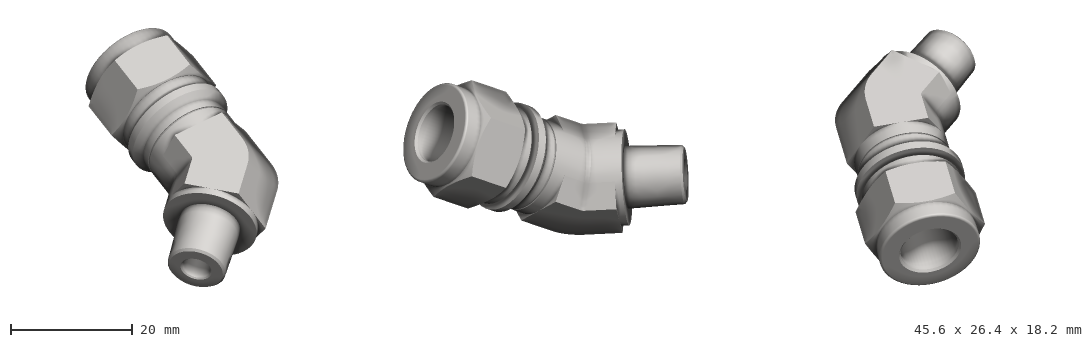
import cadquery as cq
import math

BEND_ANGLE = 45.0
ELBOW_X = 29.3

NUT_HEX_FLATS = 17.5
NUT_FRONT_DIA = 17.0
NUT_FRONT_FILLET = 0.4
NUT_HEX_START = 2.9
NUT_HEX_END = 11.95
NUT_CHAMFER_ANGLE = 30.0
NUT_COLLAR_DIA = 16.8
NUT_COLLAR_END = 14.05
NUT_COLLAR_CHAMFER = 0.3

NECK_DIA = 14.3
FLANGE_START = 14.65
FLANGE_END = 16.12
FLANGE_DIA = 18.25
SHOULDER_END = 17.35
RING_GROOVE_START = 18.95
RING_GROOVE_WIDTH = 0.35
RING_GROOVE_DEPTH = 0.2

BODY_FLATS = 15.8
BODY_START = 21.8
BODY_OUTLET_LENGTH = 7.5
OUTER_BEND_FILLET = 8.65
INNER_BEND_FILLET = 1.1

WASHER_LENGTH = 1.25
STEM_DIA = 10.3
STEM_STRAIGHT_END = 2.55
STEM_END = 10.95
STEM_TIP_DIA = 9.75
STEM_TIP_CHAMFER = 0.35

TUBE_DIA = 9.75
TUBE_DEPTH = 15.5
TUBE_CHAMFER = 0.35
INLET_BORE_DIA = 7.1
INLET_BORE_DEPTH = 21.85
OUTLET_BORE_DIA = 4.85
OUTLET_BORE_DEPTH = STEM_END + BODY_OUTLET_LENGTH / 2
OUTLET_BORE_CHAMFER = 0.25


def revolve_about_x(stations):
    """Revolve a profile of (x, radius) stations about the X axis."""
    points = [(stations[0][0], 0)] + stations + [(stations[-1][0], 0)]
    return cq.Workplane("XY").polyline(points).close().revolve(360, (0, 0), (1, 0))


def cylinder_x(start, end, diameter):
    return revolve_about_x([(start, diameter / 2), (end, diameter / 2)])


def turn_to_outlet(solid):
    """Move a solid built along +X from the origin onto the elbow's outlet axis."""
    return solid.rotate((0, 0, 0), (0, 0, 1), -BEND_ANGLE).translate((ELBOW_X, 0, 0))


def make_nut():
    corner_radius = NUT_HEX_FLATS / math.sqrt(3)
    front_radius = NUT_FRONT_DIA / 2
    chamfer_length = (corner_radius - front_radius) * math.tan(math.radians(NUT_CHAMFER_ANGLE))
    hexagon = (
        cq.Workplane("YZ", origin=(NUT_HEX_START, 0, 0))
        .polygon(6, 2 * corner_radius)
        .extrude(NUT_HEX_END - NUT_HEX_START)
    )
    chamfer_envelope = revolve_about_x([
        (NUT_HEX_START, front_radius),
        (NUT_HEX_START + chamfer_length, corner_radius),
        (NUT_HEX_END - chamfer_length, corner_radius),
        (NUT_HEX_END, front_radius),
    ])
    front = cylinder_x(0, NUT_HEX_START, NUT_FRONT_DIA).edges("<X").fillet(NUT_FRONT_FILLET)
    collar = cylinder_x(NUT_HEX_END, NUT_COLLAR_END, NUT_COLLAR_DIA)
    collar = collar.edges(">X").chamfer(NUT_COLLAR_CHAMFER)
    return hexagon.intersect(chamfer_envelope).union(front).union(collar)


def make_neck():
    neck_radius = NECK_DIA / 2
    flange_radius = FLANGE_DIA / 2
    body_radius = BODY_FLATS / 2
    groove_radius = body_radius - RING_GROOVE_DEPTH
    groove_end = RING_GROOVE_START + RING_GROOVE_WIDTH
    return revolve_about_x([
        (NUT_COLLAR_END, neck_radius),
        (FLANGE_START, neck_radius),
        (FLANGE_START, flange_radius),
        (FLANGE_END, flange_radius),
        (SHOULDER_END, body_radius),
        (RING_GROOVE_START, body_radius),
        (RING_GROOVE_START, groove_radius),
        (groove_end, groove_radius),
        (groove_end, body_radius),
        (BODY_START, body_radius),
    ])


def body_section():
    """Draw a hexagon whose -Y corner is replaced by an arc tangent to its flats."""
    radius = BODY_FLATS / 2
    corner = BODY_FLATS / math.sqrt(3)
    tangent_y = -radius * math.cos(math.radians(30))
    tangent_z = radius * math.sin(math.radians(30))
    return (
        cq.Workplane("YZ", origin=(BODY_START, 0, 0))
        .moveTo(tangent_y, tangent_z)
        .lineTo(-corner / 2, radius)
        .lineTo(corner / 2, radius)
        .lineTo(corner, 0)
        .lineTo(corner / 2, -radius)
        .lineTo(-corner / 2, -radius)
        .lineTo(tangent_y, -tangent_z)
        .threePointArc((-radius, 0), (tangent_y, tangent_z))
        .close()
    )


def make_elbow():
    """Sweep the body section around a mitred bend and round the mitre edges."""
    bend = math.radians(BEND_ANGLE)
    outlet_x = ELBOW_X + BODY_OUTLET_LENGTH * math.cos(bend)
    outlet_y = -BODY_OUTLET_LENGTH * math.sin(bend)
    path = cq.Workplane("XY").polyline([(BODY_START, 0), (ELBOW_X, 0), (outlet_x, outlet_y)])
    elbow = body_section().sweep(path, transition="right")

    tolerance = 0.005

    def mitre_edges(outer):
        chosen = []
        for edge in elbow.edges().vals():
            on_mitre = all(
                abs((v.X - ELBOW_X) - v.Y * math.tan(bend / 2)) < tolerance for v in edge.Vertices()
            )
            center = edge.Center()
            on_flat_side = abs(center.z) > BODY_FLATS / 2 - tolerance
            if on_mitre and not on_flat_side and (center.y > 0) == outer:
                chosen.append(edge)
        return chosen

    elbow = elbow.newObject(mitre_edges(True)).fillet(OUTER_BEND_FILLET)
    return elbow.newObject(mitre_edges(False)).fillet(INNER_BEND_FILLET)


def make_stem():
    washer = cylinder_x(0, WASHER_LENGTH, BODY_FLATS)
    spigot = revolve_about_x([
        (0, STEM_DIA / 2),
        (STEM_STRAIGHT_END, STEM_DIA / 2),
        (STEM_END, STEM_TIP_DIA / 2),
    ])
    spigot = spigot.edges(">X").chamfer(STEM_TIP_CHAMFER)
    return turn_to_outlet(washer.union(spigot).translate((BODY_OUTLET_LENGTH, 0, 0)))


def make_inlet_bore():
    tube_radius = TUBE_DIA / 2
    bore_radius = INLET_BORE_DIA / 2
    return revolve_about_x([
        (0, tube_radius + TUBE_CHAMFER),
        (TUBE_CHAMFER, tube_radius),
        (TUBE_DEPTH, tube_radius),
        (TUBE_DEPTH, bore_radius),
        (INLET_BORE_DEPTH, bore_radius),
    ])


def make_outlet_bore():
    tip = BODY_OUTLET_LENGTH + STEM_END
    radius = OUTLET_BORE_DIA / 2
    return turn_to_outlet(revolve_about_x([
        (tip - OUTLET_BORE_DEPTH, radius),
        (tip - OUTLET_BORE_CHAMFER, radius),
        (tip, radius + OUTLET_BORE_CHAMFER),
    ]))


fitting = make_nut().union(make_neck()).union(make_elbow()).union(make_stem())
result = fitting.cut(make_inlet_bore()).cut(make_outlet_bore())